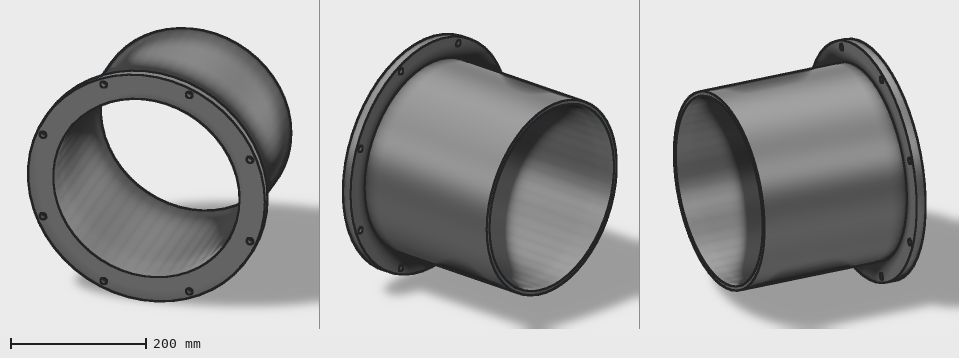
import cadquery as cq

flange_diameter = 365.0
flange_thickness = 15.0
total_length = 250.0
pipe_diameter = 300.0
bore_diameter = 287.0
bolt_circle_diameter = 345.0
bolt_hole_diameter = 10.0
bolt_hole_count = 8

first_hole_angle = 180.0 / bolt_hole_count


def along_y():
    """Workplane on the flange face, with its normal along +Y."""
    return cq.Workplane("XZ").transformed(rotate=(180, 0, 0))


flange = along_y().circle(flange_diameter / 2).extrude(flange_thickness)
pipe = along_y().circle(pipe_diameter / 2).extrude(total_length)

bore = along_y().circle(bore_diameter / 2).extrude(total_length)

bolt_holes = (
    along_y()
    .polarArray(bolt_circle_diameter / 2, first_hole_angle, 360, bolt_hole_count)
    .circle(bolt_hole_diameter / 2)
    .extrude(flange_thickness)
)

result = flange.union(pipe).cut(bore).cut(bolt_holes)